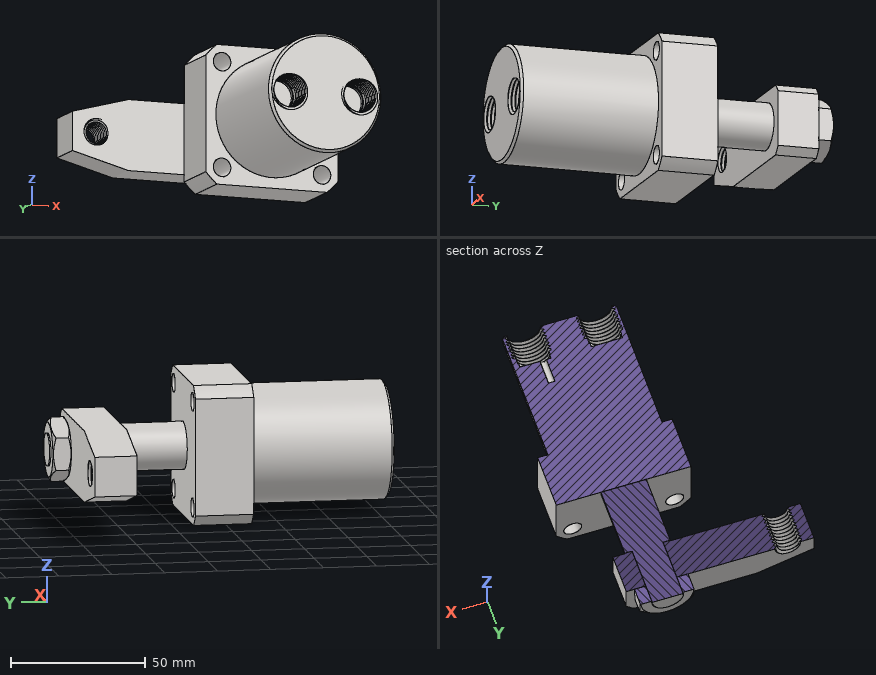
import cadquery as cq
import math


BARREL_DIAMETER = 45.0
BARREL_LENGTH = 54.0
BARREL_CHAMFER = 1.0
FLANGE_WIDTH = 53.0
FLANGE_THICKNESS = 22.0
FLANGE_TURNED_DIAMETER = 69.0
BOLT_SPACING = 40.0
BOLT_HOLE_DIAMETER = 7.0

THREAD_PITCH = 1.5
THREAD_HALF_ANGLE = math.radians(30)
THREAD_CREST_FLAT = 0.1
THREAD_OVERRUN = 1.5 * THREAD_PITCH
CUTTER_OVERLAP = 0.05

PORT_MINOR_DIAMETER = 12.5
PORT_DRILL_DIAMETER = 12.0
PORT_OFFSET = 14.0
PORT_THREAD_DEPTH = 13.0
PORT_DEPTH = 14.5
PORT_THREAD_START = 90.0
FEED_HOLE_DIAMETER = 2.4
FEED_HOLE_OFFSET = 11.0
FEED_HOLE_DEPTH = 10.0

ROD_DIAMETER = 18.0
ROD_EXPOSED_LENGTH = 28.0
NECK_DIAMETER = 12.4
NECK_PROTRUSION = 0.5

ARM_WIDTH = 27.0
ARM_THICKNESS = 16.0
ARM_REACH = 60.0
ARM_BACK = 13.8
ARM_BACK_CHAMFER = 3.0
ARM_TIP_WIDTH = 15.0
ARM_TAPER_ANGLE = math.radians(15)
ARM_HOLE_REACH = 50.0
ARM_HOLE_MINOR_DIAMETER = 8.4
ARM_THREAD_START = 180.0

NUT_SIDES = 6
NUT_ACROSS_FLATS = 21.2
NUT_HEIGHT = 7.0
NUT_FACE_DIAMETER = 20.6
NUT_CHAMFER_ANGLE = math.radians(30)

FLANGE_START = BARREL_LENGTH
FLANGE_END = FLANGE_START + FLANGE_THICKNESS
ARM_START = FLANGE_END + ROD_EXPOSED_LENGTH
ARM_END = ARM_START + ARM_THICKNESS
NUT_END = ARM_END + NUT_HEIGHT


def plane_at(y, x=0):
    """Sketch plane facing +Y; sketch points are given as (Z, X)."""
    return cq.Workplane(cq.Plane(origin=(x, y, 0), xDir=(0, 0, 1), normal=(0, 1, 0)))


def disc(diameter, start, length, x=0):
    return plane_at(start, x).circle(diameter / 2).extrude(length)


def thread_groove(minor_diameter, x, start, length, start_angle):
    """Helical V groove along Y that begins a pitch before `start` and covers `length`."""
    radius = minor_diameter / 2
    flank_slope = math.tan(THREAD_HALF_ANGLE)
    half_base = (THREAD_PITCH - THREAD_CREST_FLAT) / 2 + CUTTER_OVERLAP * flank_slope
    base_radius = radius - CUTTER_OVERLAP
    tip_radius = base_radius + half_base / flank_slope
    path = cq.Wire.makeHelix(THREAD_PITCH, length + THREAD_PITCH, radius)
    profile = cq.Workplane("XZ").polyline([
        (base_radius, -half_base),
        (tip_radius, 0),
        (base_radius, half_base),
    ]).close()
    groove = profile.sweep(cq.Workplane(path), isFrenet=True)
    return (
        groove.rotate((0, 0, 0), (0, 0, 1), start_angle)
        .rotate((0, 0, 0), (1, 0, 0), -90)
        .translate((x, start - THREAD_PITCH, 0))
    )


def make_housing():
    barrel = disc(BARREL_DIAMETER, 0, BARREL_LENGTH).faces("<Y").chamfer(BARREL_CHAMFER)
    square = plane_at(FLANGE_START).rect(FLANGE_WIDTH, FLANGE_WIDTH).extrude(FLANGE_THICKNESS)
    flange = square.intersect(disc(FLANGE_TURNED_DIAMETER, FLANGE_START, FLANGE_THICKNESS))
    bolt_holes = (
        plane_at(FLANGE_START)
        .rect(BOLT_SPACING, BOLT_SPACING, forConstruction=True)
        .vertices()
        .circle(BOLT_HOLE_DIAMETER / 2)
        .extrude(FLANGE_THICKNESS)
    )
    housing = barrel.union(flange).cut(bolt_holes)
    for x in (-PORT_OFFSET, PORT_OFFSET):
        housing = housing.cut(disc(PORT_DRILL_DIAMETER, 0, PORT_DEPTH, x))
        housing = housing.cut(disc(PORT_MINOR_DIAMETER, 0, PORT_THREAD_DEPTH, x))
        thread_length = PORT_THREAD_DEPTH - THREAD_PITCH
        housing = housing.cut(
            thread_groove(PORT_MINOR_DIAMETER, x, 0, thread_length, PORT_THREAD_START)
        )
    return housing.cut(disc(FEED_HOLE_DIAMETER, PORT_DEPTH, FEED_HOLE_DEPTH, FEED_HOLE_OFFSET))


def make_rod():
    rod = disc(ROD_DIAMETER, FLANGE_END, ROD_EXPOSED_LENGTH)
    neck_length = ARM_THICKNESS + NUT_HEIGHT + NECK_PROTRUSION
    return rod.union(disc(NECK_DIAMETER, ARM_START, neck_length))


def make_arm():
    half_width = ARM_WIDTH / 2
    half_tip = ARM_TIP_WIDTH / 2
    taper_length = (half_width - half_tip) / math.tan(ARM_TAPER_ANGLE)
    shoulder = ARM_REACH - taper_length
    arm = (
        plane_at(ARM_START)
        .polyline([
            (-half_tip, -ARM_REACH),
            (half_tip, -ARM_REACH),
            (half_width, -shoulder),
            (half_width, ARM_BACK),
            (-half_width, ARM_BACK),
            (-half_width, -shoulder),
        ])
        .close()
        .extrude(ARM_THICKNESS)
    )
    arm = arm.edges("|Y and >X").chamfer(ARM_BACK_CHAMFER)
    arm = arm.cut(disc(NECK_DIAMETER, ARM_START, ARM_THICKNESS))
    arm = arm.cut(disc(ARM_HOLE_MINOR_DIAMETER, ARM_START, ARM_THICKNESS, -ARM_HOLE_REACH))
    thread_length = ARM_THICKNESS + THREAD_OVERRUN
    return arm.cut(
        thread_groove(
            ARM_HOLE_MINOR_DIAMETER, -ARM_HOLE_REACH, ARM_START, thread_length, ARM_THREAD_START
        )
    )


def make_nut():
    half_sector = math.pi / NUT_SIDES
    across_corners = NUT_ACROSS_FLATS / math.cos(half_sector)
    hexagon = (
        plane_at(ARM_END)
        .polygon(NUT_SIDES, across_corners)
        .extrude(NUT_HEIGHT)
    )
    face_radius = NUT_FACE_DIAMETER / 2
    blank_radius = across_corners / 2
    bevel_height = (blank_radius - face_radius) * math.tan(NUT_CHAMFER_ANGLE)
    blank = (
        cq.Workplane("XY")
        .polyline([
            (0, ARM_END),
            (face_radius, ARM_END),
            (blank_radius, ARM_END + bevel_height),
            (blank_radius, NUT_END - bevel_height),
            (face_radius, NUT_END),
            (0, NUT_END),
        ])
        .close()
        .revolve(360, (0, 0, 0), (0, 1, 0))
    )
    return hexagon.intersect(blank).cut(disc(NECK_DIAMETER, ARM_END, NUT_HEIGHT))


housing = make_housing()
rod = make_rod()
arm = make_arm()
nut = make_nut()

result = cq.Compound.makeCompound([
    housing.solids().val(),
    rod.solids().val(),
    arm.solids().val(),
    nut.solids().val(),
])